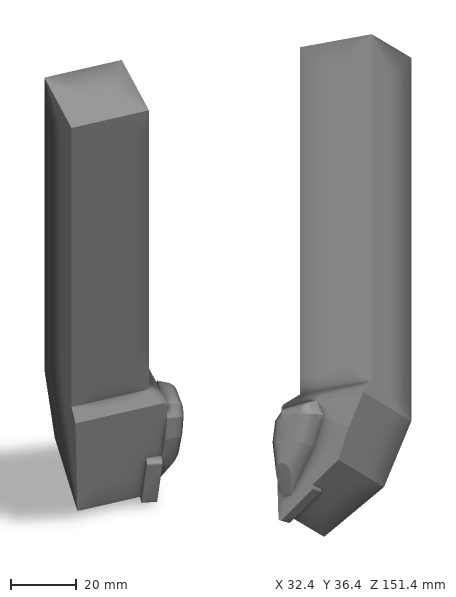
import cadquery as cq
import math

total_length = 151.4
shank_size = 25.0
head_top = 39.5
head_overhang = 3.6
head_depth = 30.3
lead_angle = 3.0
tip_height = 2.1
flank_bend = (9.5, 14.7)
relief_height = 34.4

insert_angle = 55.0
insert_edge = 15.5
insert_thickness = 4.8
nose_radius = 0.8
nose_x = 31.6
nose_y = 25.1

seat_tilt = 8.8
axis_angle = 30.2

clamp_outline = [
    (18.3, 28.8),
    (14.0, 19.7),
    (1.8, 2.4),
    (0.9, 22.7),
    (2.5, 29.7),
    (6.0, 33.1),
    (16.0, 33.6),
]
clamp_height = 6.5
clamp_draft = 12.0
clamp_fillet = 3.8
nose_slope_start = 15.1
nose_slope_length = 18.2
nose_slope = 36.0

tilt = math.radians(seat_tilt)
turn = math.radians(axis_angle)
nose_centre = cq.Vector(nose_x, nose_y, nose_radius)
seat_normal = cq.Vector(math.sin(tilt) * math.sin(turn), math.cos(tilt), -math.sin(tilt) * math.cos(turn))
insert_axis = cq.Vector(-math.cos(tilt) * math.sin(turn), math.sin(tilt), math.cos(tilt) * math.cos(turn))
level_direction = cq.Vector(-seat_normal.y, seat_normal.x, 0)
insert_plane = cq.Plane(nose_centre, insert_axis, seat_normal)
clamp_plane = cq.Plane(nose_centre, level_direction, seat_normal)


def make_insert():
    half_angle = math.radians(insert_angle / 2)
    half_length = insert_edge * math.cos(half_angle)
    half_width = insert_edge * math.sin(half_angle)
    corner = -nose_radius / math.sin(half_angle)
    middle = corner + half_length
    outline = [(corner, 0), (middle, half_width), (middle + half_length, 0), (middle, -half_width)]
    blank = cq.Workplane(insert_plane).polyline(outline).close().extrude(-insert_thickness)
    return blank.edges(cq.selectors.ParallelDirSelector(seat_normal)).fillet(nose_radius)


def make_clamp():
    body = cq.Workplane(clamp_plane).polyline(clamp_outline).close().extrude(clamp_height, taper=clamp_draft)
    body = body.faces(cq.selectors.DirectionMinMaxSelector(seat_normal)).edges().fillet(clamp_fillet)
    drop = nose_slope_length * math.tan(math.radians(nose_slope))
    slope_outline = [
        (nose_slope_start, clamp_height),
        (nose_slope_start - nose_slope_length, clamp_height),
        (nose_slope_start - nose_slope_length, clamp_height - drop),
    ]
    nose_plane = cq.Plane(nose_centre, seat_normal.cross(level_direction), level_direction)
    nose_cut = cq.Workplane(nose_plane).polyline(slope_outline).close().extrude(total_length, both=True)
    return body.cut(nose_cut)


def make_holder(insert):
    flank_x = shank_size + head_overhang
    flank_z = head_top - head_overhang
    tip_x = flank_x + (flank_z - tip_height) * math.tan(math.radians(lead_angle))
    front_outline = [
        (0, total_length),
        (shank_size, total_length),
        (shank_size, head_top),
        (flank_x, flank_z),
        (tip_x, tip_height),
        flank_bend,
        (0, relief_height),
    ]
    side_outline = [
        (0, total_length),
        (shank_size, total_length),
        (shank_size, head_top),
        (head_depth, head_top - (head_depth - shank_size)),
        (head_depth, 0),
        (0, 0),
    ]
    body = cq.Workplane("XZ").polyline(front_outline).close().extrude(-head_depth)
    side = cq.Workplane("YZ").polyline(side_outline).close().extrude(total_length)
    above_seat = cq.Workplane(insert_plane).rect(total_length, total_length).extrude(head_depth)
    return body.intersect(side).cut(above_seat).union(make_clamp()).cut(insert)


insert = make_insert()
holder = make_holder(insert)
result = cq.Compound.makeCompound([holder.val(), insert.val()])